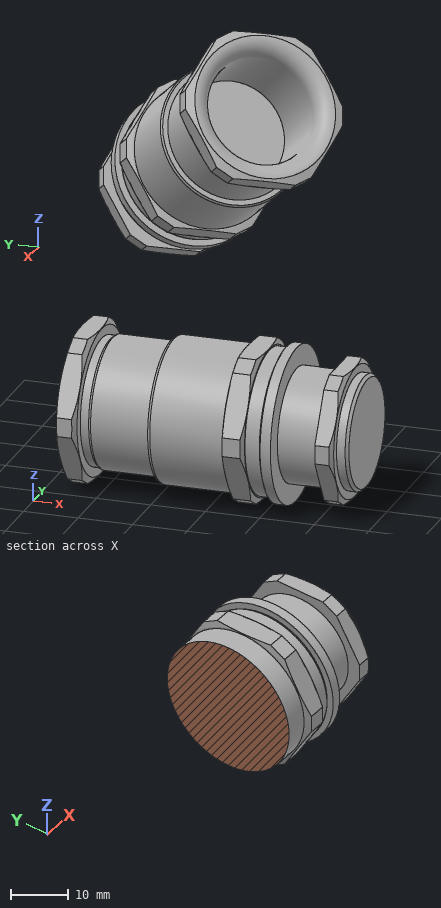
import cadquery as cq
import math

TOTAL_LENGTH = 52.7

LARGE_HEX_FLATS = 27.0
LARGE_HEX_CORNERS = 29.15
SMALL_HEX_FLATS = 24.05
SMALL_HEX_CORNERS = 25.8

ENTRY_NUT_END = 3.95
ENTRY_FACE_RADIUS = 13.0
ENTRY_FRONT_BEVEL = 0.6
ENTRY_BACK_RADIUS = 13.45
ENTRY_BACK_BEVEL = 0.65

BODY_HEX_START = 30.7
BODY_HEX_END = 34.75
BODY_HEX_RADIUS = 13.5
BODY_HEX_FRONT_BEVEL = 0.3
BODY_HEX_BACK_BEVEL = 0.5

LOCKNUT_START = 47.45
LOCKNUT_END = 50.6
LOCKNUT_RADIUS = 11.95
LOCKNUT_BEVEL = 0.6

NECK_RADIUS = 11.65
NECK_END = 5.5
BARREL_RADIUS = 12.0
BARREL_BEVEL = 0.5
SLEEVE_RADIUS = 13.25
SLEEVE_START = 16.75
SLEEVE_BEVEL_LENGTH = 0.5
SLEEVE_BEVEL_DEPTH = 0.25
FLANGE_DIAMETER = 28.5
FLANGE_START = 37.85
FLANGE_END = 39.75
THREAD_RADIUS = 10.45
THREAD_BEVEL = 0.55

BORE_RADIUS = 9.8
BORE_DEPTH = 17.4
MOUTH_RADIUS = 12.75


def revolve_profile(outline):
    """Turn a closed wire of (X, radius) about the X axis."""
    return outline.close().revolve(360, (0, 0, 0), (1, 0, 0))


def hex_prism(across_flats, start, end, turn):
    """Hexagonal bar along X; a turn of 0 puts two corners on the Y axis."""
    across_corners = across_flats / math.cos(math.pi / 6)
    prism = cq.Workplane("YZ").workplane(offset=start).polygon(6, across_corners).extrude(end - start)
    return prism.rotate((0, 0, 0), (1, 0, 0), turn)


def hex_nut(flats, corners, start, end, back_cone, front_cone=None):
    """Hexagon with trimmed corners; a cone is (end face radius, axial length) and bevels that end."""
    hexagon = hex_prism(flats, start, end, 0)
    hexagon = hexagon.intersect(hex_prism(corners, start, end, 30))
    half_corner = corners / 2
    half_width = flats - half_corner * math.sqrt(3)
    tip_radius = math.hypot(half_corner, half_width)

    envelope = cq.Workplane("XY").moveTo(start, 0)
    if front_cone:
        front_radius, front_bevel = front_cone
        envelope = envelope.lineTo(start, front_radius).lineTo(start + front_bevel, tip_radius)
    else:
        envelope = envelope.lineTo(start, tip_radius)
    back_radius, back_bevel = back_cone
    envelope = envelope.lineTo(end - back_bevel, tip_radius).lineTo(end, back_radius).lineTo(end, 0)
    return hexagon.intersect(revolve_profile(envelope))


def turned_body():
    """Neck, barrel, sleeve, flange and thread as one stepped shaft."""
    sleeve_edge_radius = SLEEVE_RADIUS - SLEEVE_BEVEL_DEPTH
    flange_radius = FLANGE_DIAMETER / 2
    return revolve_profile(
        cq.Workplane("XY")
        .lineTo(0, NECK_RADIUS)
        .lineTo(NECK_END, NECK_RADIUS)
        .lineTo(NECK_END + BARREL_BEVEL, BARREL_RADIUS)
        .lineTo(SLEEVE_START, BARREL_RADIUS)
        .lineTo(SLEEVE_START, sleeve_edge_radius)
        .lineTo(SLEEVE_START + SLEEVE_BEVEL_LENGTH, SLEEVE_RADIUS)
        .lineTo(FLANGE_START - SLEEVE_BEVEL_LENGTH, SLEEVE_RADIUS)
        .lineTo(FLANGE_START, sleeve_edge_radius)
        .lineTo(FLANGE_START, flange_radius)
        .lineTo(FLANGE_END, flange_radius)
        .lineTo(FLANGE_END, THREAD_RADIUS)
        .lineTo(TOTAL_LENGTH - THREAD_BEVEL, THREAD_RADIUS)
        .lineTo(TOTAL_LENGTH, THREAD_RADIUS - THREAD_BEVEL)
        .lineTo(TOTAL_LENGTH, 0)
    )


def bore():
    """Blind bore whose mouth flares out along a quarter-round."""
    flare = MOUTH_RADIUS - BORE_RADIUS
    arc_offset = flare * math.sqrt(0.5)
    arc_middle = (flare - arc_offset, MOUTH_RADIUS - arc_offset)
    return revolve_profile(
        cq.Workplane("XY")
        .lineTo(0, MOUTH_RADIUS)
        .threePointArc(arc_middle, (flare, BORE_RADIUS))
        .lineTo(BORE_DEPTH, BORE_RADIUS)
        .lineTo(BORE_DEPTH, 0)
    )


entry_nut = hex_nut(
    LARGE_HEX_FLATS,
    LARGE_HEX_CORNERS,
    0,
    ENTRY_NUT_END,
    back_cone=(ENTRY_BACK_RADIUS, ENTRY_BACK_BEVEL),
    front_cone=(ENTRY_FACE_RADIUS, ENTRY_FRONT_BEVEL),
)
body_hex = hex_nut(
    LARGE_HEX_FLATS,
    LARGE_HEX_CORNERS,
    BODY_HEX_START,
    BODY_HEX_END,
    back_cone=(BODY_HEX_RADIUS, BODY_HEX_BACK_BEVEL),
    front_cone=(BODY_HEX_RADIUS, BODY_HEX_FRONT_BEVEL),
)
locknut = hex_nut(
    SMALL_HEX_FLATS,
    SMALL_HEX_CORNERS,
    LOCKNUT_START,
    LOCKNUT_END,
    back_cone=(LOCKNUT_RADIUS, LOCKNUT_BEVEL),
)

result = turned_body().union(entry_nut).union(body_hex).union(locknut).cut(bore())